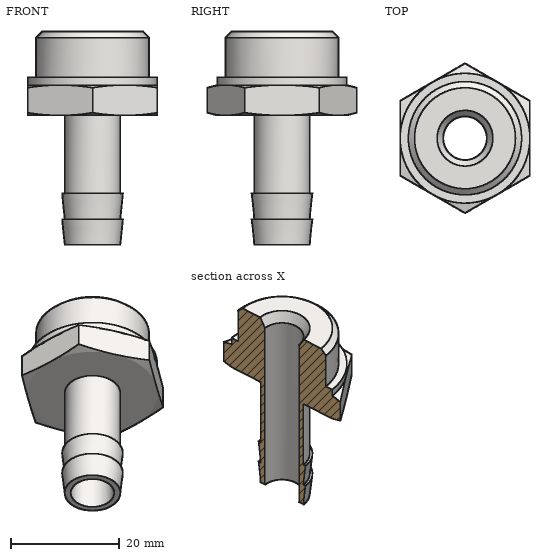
import cadquery as cq
import math

total_height = 39.5
bore_diameter = 8.0

stem_diameter = 10.3
barb_diameter = 11.3
barb_height = 4.78
barb_count = 2

hex_across_flats = 24.0
hex_bottom = 23.98
hex_height = 5.6
hex_rim_angle = 15.0

collar_height = 1.45
plug_diameter = 20.97
plug_chamfer = 1.15

mouth_diameter = stem_diameter
mouth_half_angle = 30.0

hex_top = hex_bottom + hex_height
hex_across_corners = hex_across_flats / math.cos(math.radians(30))
collar_top = hex_top + collar_height


def cylinder(diameter, bottom, top):
    return cq.Workplane("XY").workplane(offset=bottom).circle(diameter / 2).extrude(top - bottom)


def make_barb(bottom):
    """Cone that widens upward to a sharp step."""
    outline = [
        (0, bottom),
        (stem_diameter / 2, bottom),
        (barb_diameter / 2, bottom + barb_height),
        (0, bottom + barb_height),
    ]
    return cq.Workplane("XZ").polyline(outline).close().revolve(360, (0, 0), (0, 1))


def make_hexagon():
    """Hexagon with corners on the Y axis, trimmed by a cone at each end."""
    prism = (
        cq.Workplane("XY")
        .workplane(offset=hex_bottom)
        .polygon(6, hex_across_corners)
        .extrude(hex_height)
        .rotate((0, 0, 0), (0, 0, 1), 30)
    )
    rim_width = (hex_across_corners - hex_across_flats) / 2
    rim_drop = rim_width * math.tan(math.radians(hex_rim_angle))
    turned_blank = (
        cylinder(hex_across_corners, hex_bottom, hex_top)
        .faces("<Z or >Z")
        .chamfer(rim_drop, rim_width)
    )
    return prism.intersect(turned_blank)


def make_plug():
    return cylinder(plug_diameter, collar_top, total_height).faces(">Z").chamfer(plug_chamfer)


def make_mouth():
    """Cone removed from the top end of the bore."""
    depth = (mouth_diameter - bore_diameter) / 2 / math.tan(math.radians(mouth_half_angle))
    outline = [
        (0, total_height - depth),
        (bore_diameter / 2, total_height - depth),
        (mouth_diameter / 2, total_height),
        (0, total_height),
    ]
    return cq.Workplane("XZ").polyline(outline).close().revolve(360, (0, 0), (0, 1))


body = cylinder(stem_diameter, 0, hex_bottom)
for index in range(barb_count):
    body = body.union(make_barb(index * barb_height))

body = body.union(make_hexagon())
body = body.union(cylinder(hex_across_flats, hex_top, collar_top))
body = body.union(make_plug())

result = body.cut(cylinder(bore_diameter, 0, total_height)).cut(make_mouth())